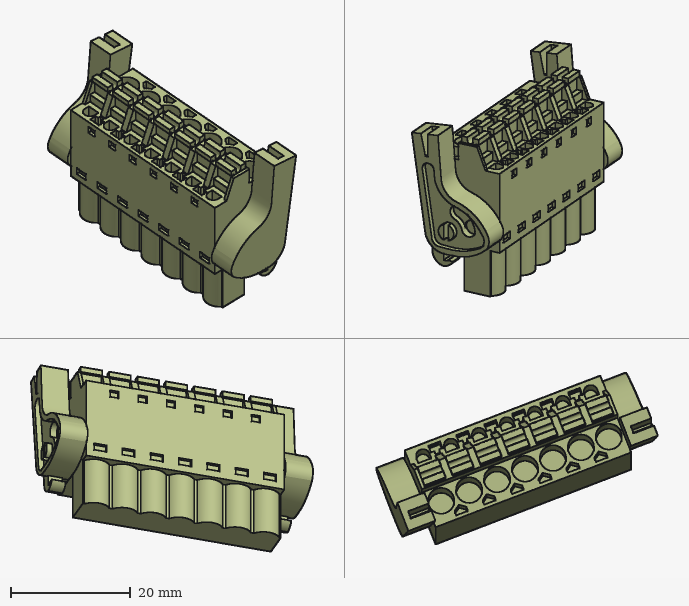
import cadquery as cq
import math

total_length = 44.7
pole_count = 7
pole_pitch = 5.0
housing_width = pole_count * pole_pitch
housing_depth = 14.2
half_width = housing_width / 2

plug_height = 8.3
front_deck_height = 22.65
rear_deck_height = 23.6
tower_height = 26.6

tower_front_foot = 2.7
tower_front_top = 4.35
tower_back = 7.9

plug_back = 6.8
plug_front = 1.8
column_width = 4.45
column_bulge = 1.1

button_width = 3.8
button_back = 7.65
button_top = 27.7
button_lip_height = 26.75
button_face = 4.85
button_ledge_height = 24.2
button_ledge_front = 3.85
button_groove_radius = 0.515
button_groove_center_y = 6.0
button_groove_center_z = 27.15

wire_hole_diameter = 4.4
wire_hole_y = 10.35
wire_hole_depth = 4.45
test_pocket_depth = 4.45
test_pocket_radius = 1.15
test_pocket_back = 2.85
test_pocket_arc_center_y = 2.0
key_pocket_depth = 2.7
key_pocket_width = 2.1
key_pocket_front = 0.7
key_pocket_back = 1.9
key_neck_width = 0.8
key_neck_back = 2.5
rear_pocket_back = 13.6
rear_pocket_corner = 12.85
rear_pocket_point = 12.05

window_depth = 0.6
window_height = 1.25
upper_window_width = 1.5
upper_window_z = 20.95
lower_window_width = 2.25
lower_window_z = 10.3

latch_width = 2.5

lever_width = (total_length - housing_width) / 2
recess_depth = 1.0
lever_slot_length = 3.65
hook_width = 2.5
pivot_y = 7.5
pivot_z = 12.2
pivot_radius = 1.48
driver_slot_width = 0.9
guide_radius = 3.85
guide_half_width = 1.275
guide_depth = 1.15
guide_start_angle = 113.0
guide_end_angle = 166.0
guide_hole_depth = 0.4

pole_centers = [(i - (pole_count - 1) / 2) * pole_pitch for i in range(pole_count)]
pole_boundaries = [x + pole_pitch / 2 for x in pole_centers[:-1]]


def side_profile(x_start):
    """Sketch plane across the part at x_start; local axes are Y and Z, normal is +X."""
    return cq.Workplane("YZ", origin=(x_start, 0, 0))


def deck_sketch(x, height):
    """Sketch plane facing up at the given height; local axes are X (measured from x) and Y."""
    return cq.Workplane("XY", origin=(x, 0, height))


def housing_block():
    outline = [
        (0, plug_height),
        (housing_depth, plug_height),
        (housing_depth, rear_deck_height),
        (tower_back, rear_deck_height),
        (tower_back, tower_height),
        (tower_front_top, tower_height),
        (tower_front_foot, front_deck_height),
        (0, front_deck_height),
    ]
    return side_profile(-half_width).polyline(outline).close().extrude(housing_width)


def plug():
    block = cq.Workplane("XY").box(
        housing_width, plug_back - plug_front, plug_height, centered=(True, False, False)
    ).translate((0, plug_front, 0))
    for x in pole_centers:
        column = (
            deck_sketch(x, 0)
            .moveTo(-column_width / 2, plug_front)
            .threePointArc((0, plug_front - column_bulge), (column_width / 2, plug_front))
            .lineTo(column_width / 2, plug_back)
            .lineTo(-column_width / 2, plug_back)
            .close()
            .extrude(plug_height)
        )
        block = block.union(column)
    return block


def latch():
    outline = [
        (9.85, plug_height),
        (8.15, plug_height),
        (8.45, 7.5),
        (8.45, 5.35),
        (8.05, 4.9),
        (8.1, 4.05),
        (8.75, 4.05),
        (9.48, 5.55),
    ]
    return side_profile(-latch_width / 2).polyline(outline).close().extrude(latch_width)


def button_slot(x):
    height = tower_height - front_deck_height
    slot = cq.Workplane("XY").box(button_width, button_back, height, centered=(True, False, False))
    return slot.translate((x, 0, front_deck_height))


def wire_hole(x):
    return (
        deck_sketch(x, rear_deck_height)
        .center(0, wire_hole_y)
        .circle(wire_hole_diameter / 2)
        .extrude(-wire_hole_depth)
    )


def test_pocket(x):
    return (
        deck_sketch(x, front_deck_height)
        .moveTo(-test_pocket_radius, test_pocket_back)
        .lineTo(-test_pocket_radius, test_pocket_arc_center_y)
        .threePointArc(
            (0, test_pocket_arc_center_y - test_pocket_radius),
            (test_pocket_radius, test_pocket_arc_center_y),
        )
        .lineTo(test_pocket_radius, test_pocket_back)
        .close()
        .extrude(-test_pocket_depth)
    )


def key_pocket(x):
    """T-shaped pocket in the front deck whose neck points at the tower."""
    half_bar = key_pocket_width / 2
    half_neck = key_neck_width / 2
    outline = [
        (-half_bar, key_pocket_front),
        (half_bar, key_pocket_front),
        (half_bar, key_pocket_back),
        (half_neck, key_pocket_back),
        (half_neck, key_neck_back),
        (-half_neck, key_neck_back),
        (-half_neck, key_pocket_back),
        (-half_bar, key_pocket_back),
    ]
    return deck_sketch(x, front_deck_height).polyline(outline).close().extrude(-key_pocket_depth)


def rear_pocket(x):
    half_bar = key_pocket_width / 2
    outline = [
        (-half_bar, rear_pocket_back),
        (half_bar, rear_pocket_back),
        (half_bar, rear_pocket_corner),
        (0, rear_pocket_point),
        (-half_bar, rear_pocket_corner),
    ]
    return deck_sketch(x, rear_deck_height).polyline(outline).close().extrude(-key_pocket_depth)


def window(x, z, width):
    pocket = cq.Workplane("XY").box(width, window_depth, window_height, centered=(True, False, True))
    return pocket.translate((x, 0, z))


def make_housing():
    body = housing_block().union(plug()).union(latch())
    for x in pole_centers:
        body = body.cut(button_slot(x))
        body = body.cut(wire_hole(x))
        body = body.cut(test_pocket(x))
        body = body.cut(window(x, lower_window_z, lower_window_width))
    for x in pole_boundaries:
        body = body.cut(key_pocket(x))
        body = body.cut(rear_pocket(x))
        body = body.cut(window(x, upper_window_z, upper_window_width))
    return body


def make_button(x):
    """Button filling one slot: a ledge at the front and a grooved head standing above the tower."""
    groove_front = button_groove_center_y - button_groove_radius
    groove_back = button_groove_center_y + button_groove_radius
    groove_bottom = button_groove_center_z - button_groove_radius
    return (
        side_profile(x - button_width / 2)
        .moveTo(button_ledge_front, front_deck_height)
        .lineTo(button_back, front_deck_height)
        .lineTo(button_back, button_top)
        .lineTo(groove_back, button_top)
        .lineTo(groove_back, button_groove_center_z)
        .threePointArc((button_groove_center_y, groove_bottom), (groove_front, button_groove_center_z))
        .lineTo(groove_front, button_top)
        .lineTo(tower_front_top, button_top)
        .lineTo(tower_front_top, button_lip_height)
        .lineTo(button_face, button_lip_height)
        .lineTo(button_face, button_ledge_height)
        .lineTo(button_ledge_front, button_ledge_height)
        .close()
        .extrude(button_width)
    )


def lever_plate(x):
    return (
        side_profile(x)
        .moveTo(14.13, 28.95)
        .lineTo(9.07, 29.5)
        .lineTo(8.45, 21.72)
        .threePointArc((7.4, 19.35), (5.45, 18.2))
        .threePointArc((2.32, 16.7), (-0.1, 14.13))
        .lineTo(-0.45, 13.45)
        .threePointArc((-0.75, 12.2), (-0.25, 10.77))
        .threePointArc((2.7, 8.95), (6.25, 8.25))
        .lineTo(7.82, 8.25)
        .threePointArc((10.2, 9.1), (11.55, 11.3))
        .close()
        .extrude(lever_width)
    )


def lever_hook(x):
    return (
        side_profile(x + (lever_width - hook_width) / 2)
        .moveTo(11.45, 11.0)
        .lineTo(10.8, 8.3)
        .threePointArc((10.15, 6.2), (8.65, 5.45))
        .threePointArc((7.55, 5.85), (6.85, 6.65))
        .lineTo(7.82, 6.65)
        .lineTo(8.05, 6.53)
        .lineTo(8.65, 6.53)
        .lineTo(8.65, 9.15)
        .close()
        .extrude(hook_width)
    )


def lever_recess(x):
    return (
        side_profile(x)
        .moveTo(12.05, 22.8)
        .threePointArc((11.0, 24.05), (9.85, 22.98))
        .lineTo(9.7, 21.35)
        .threePointArc((8.3, 18.77), (5.45, 17.15))
        .threePointArc((2.75, 15.8), (0.75, 13.5))
        .lineTo(0.4, 12.95)
        .threePointArc((0.22, 11.85), (1.0, 10.75))
        .threePointArc((3.4, 9.75), (6.25, 9.3))
        .lineTo(9.05, 9.4)
        .threePointArc((9.92, 9.9), (10.3, 10.8))
        .close()
        .extrude(recess_depth)
    )


def lever_top_slot(x):
    """Tapered slot that opens on the top and on the -X face of the lever."""
    outline = [(12.43, 29.5), (11.5, 25.2), (11.05, 25.2), (11.05, 29.5)]
    return side_profile(x).polyline(outline).close().extrude(lever_slot_length)


def pivot_boss(x):
    return side_profile(x).center(pivot_y, pivot_z).circle(pivot_radius).extrude(recess_depth)


def driver_slot(x):
    """Round-bottomed screwdriver slot across the pivot boss, reaching below the recess floor."""
    half_slot = driver_slot_width / 2
    channel = (
        cq.Workplane("XY", origin=(x, pivot_y, pivot_z - pivot_radius))
        .moveTo(0, -half_slot)
        .lineTo(recess_depth, -half_slot)
        .threePointArc((recess_depth + half_slot, 0), (recess_depth, half_slot))
        .lineTo(0, half_slot)
        .close()
        .extrude(2 * pivot_radius)
    )
    reach = side_profile(x).center(pivot_y, pivot_z).circle(pivot_radius).extrude(recess_depth + half_slot)
    return channel.intersect(reach)


def around_pivot(radius, angle):
    """Point (Y, Z) on a circle about the pivot; the angle runs from +Y towards +Z."""
    turn = math.radians(angle)
    return (pivot_y + radius * math.cos(turn), pivot_z + radius * math.sin(turn))


def guide_slot(x):
    """Curved slot about the pivot in the recess floor, with a round hole at its lower end."""
    floor = x + recess_depth
    inner = guide_radius - guide_half_width
    outer = guide_radius + guide_half_width
    middle_angle = (guide_start_angle + guide_end_angle) / 2
    end_reach = math.degrees(guide_half_width / guide_radius)
    slot = (
        side_profile(floor)
        .moveTo(*around_pivot(inner, guide_start_angle))
        .threePointArc(around_pivot(inner, middle_angle), around_pivot(inner, guide_end_angle))
        .threePointArc(
            around_pivot(guide_radius, guide_end_angle + end_reach), around_pivot(outer, guide_end_angle)
        )
        .threePointArc(around_pivot(outer, middle_angle), around_pivot(outer, guide_start_angle))
        .threePointArc(
            around_pivot(guide_radius, guide_start_angle - end_reach), around_pivot(inner, guide_start_angle)
        )
        .close()
        .extrude(guide_depth)
    )
    hole = (
        side_profile(floor)
        .center(*around_pivot(guide_radius, guide_end_angle))
        .circle(guide_half_width)
        .extrude(guide_depth + guide_hole_depth)
    )
    return slot.union(hole)


def make_lever(x):
    """Lever whose -X face lies at x; the recess and its details open on that face."""
    body = lever_plate(x).union(lever_hook(x))
    body = body.cut(lever_recess(x)).cut(lever_top_slot(x))
    body = body.cut(guide_slot(x))
    return body.union(pivot_boss(x)).cut(driver_slot(x))


housing = make_housing()
buttons = [make_button(x) for x in pole_centers]
levers = [make_lever(x) for x in (-total_length / 2, half_width)]

result = cq.Compound.makeCompound([housing.val(), *[b.val() for b in buttons], *[v.val() for v in levers]])